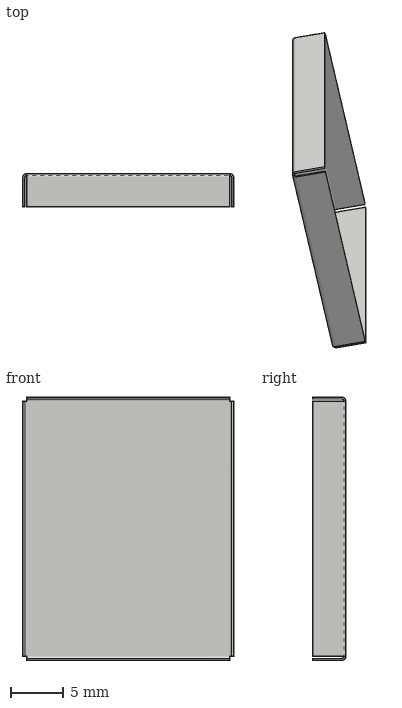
import cadquery as cq

width = 20.2
depth = 3.2
height = 25.2
thickness = 0.2
bend_outer_radius = 0.38
bend_inner_radius = bend_outer_radius - thickness

panel_width = width - 2 * bend_outer_radius
panel_height = height - 2 * bend_outer_radius


def rounded_block(span, length, radius):
    """Block along Z with its two long edges on the +Y side rounded."""
    return cq.Workplane("XY").box(span, depth, length).edges("|Z and >Y").fillet(radius)


def folded_channel(span, length):
    """Channel along Z: a back panel and two flanges, `span` across the outside, with round bends."""
    outer = rounded_block(span, length, bend_outer_radius)
    cavity = rounded_block(span - 2 * thickness, length, bend_inner_radius)
    return outer.cut(cavity.translate((0, -thickness, 0)))


side_flanges = folded_channel(width, panel_height)
end_flanges = folded_channel(height, panel_width).rotate((0, 0, 0), (0, 1, 0), 90)

result = side_flanges.union(end_flanges)